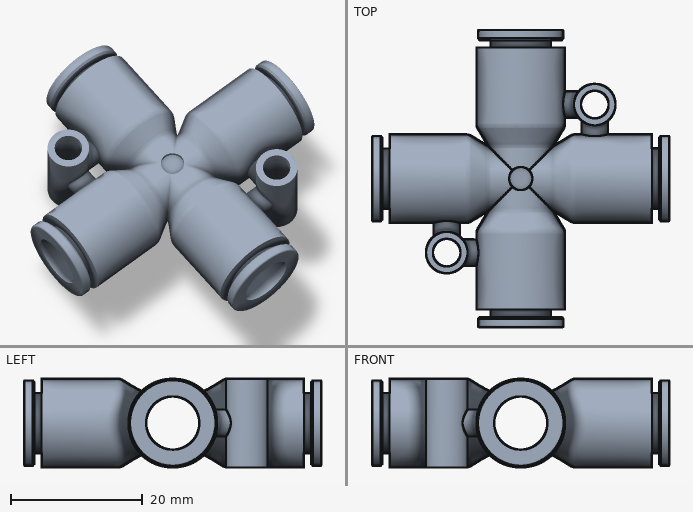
import cadquery as cq
import math

span = 45.2
half_span = span / 2
body_radius = 13.5 / 2
bore_radius = 4.02

hub_radius = 4.93
cone_angle = 31.0
shoulder_start = 7.95
shoulder_blend = 1.45
hub_blend = 1.1
body_end = 19.95

collar_neck_radius = 4.6
flange_radius = 6.5
flange_thickness = 1.6
flange_round = 0.25
flange_bevel = 0.3

tube_offset = 11.25
tube_radius = 3.15
tube_hole_radius = 2.1
web_radius = 2.05

recess_radius = 1.75
recess_floor = 4.4


def make_arm():
    """One arm along +X: hub cylinder, blended cone, body, collar neck and flange."""
    cone_length = (body_radius - hub_radius) / math.tan(math.radians(cone_angle))
    cone_start = shoulder_start - cone_length
    body = (
        cq.Workplane("XY")
        .polyline([
            (0, 0),
            (0, hub_radius),
            (cone_start, hub_radius),
            (shoulder_start, body_radius),
            (body_end, body_radius),
            (body_end, 0),
        ])
        .close()
        .revolve(360, (0, 0, 0), (1, 0, 0))
    )
    edge_margin = 0.05
    for position, blend in ((cone_start, hub_blend), (shoulder_start, shoulder_blend)):
        near_circle = cq.selectors.BoxSelector(
            (position - edge_margin, -span, -span),
            (position + edge_margin, span, span),
        )
        body = body.edges("%CIRCLE").edges(near_circle).fillet(blend)

    neck = (
        cq.Workplane("YZ", origin=(body_end, 0, 0))
        .circle(collar_neck_radius)
        .extrude(half_span - body_end)
    )
    flange = (
        cq.Workplane("YZ", origin=(half_span - flange_thickness, 0, 0))
        .circle(flange_radius)
        .extrude(flange_thickness)
        .edges(">X")
        .fillet(flange_round)
        .edges("<X")
        .chamfer(flange_bevel)
    )
    return body.union(neck).union(flange)


def make_bores():
    """Two through bores crossing at the centre."""
    bore_x = cq.Workplane("YZ").circle(bore_radius).extrude(half_span, both=True)
    bore_y = cq.Workplane("XZ").circle(bore_radius).extrude(half_span, both=True)
    return bore_x.union(bore_y)


def make_mount():
    """Vertical tube in the +X +Y corner with a round web to each neighbouring arm."""
    web_x = (
        cq.Workplane("YZ", origin=(0, tube_offset, 0))
        .circle(web_radius)
        .extrude(tube_offset)
    )
    web_y = (
        cq.Workplane("XZ", origin=(tube_offset, 0, 0))
        .circle(web_radius)
        .extrude(-tube_offset)
    )
    tube = (
        cq.Workplane("XY")
        .center(tube_offset, tube_offset)
        .circle(tube_radius)
        .extrude(body_radius, both=True)
    )
    hole = (
        cq.Workplane("XY")
        .center(tube_offset, tube_offset)
        .circle(tube_hole_radius)
        .extrude(body_radius, both=True)
    )
    return tube.union(web_x).union(web_y).cut(hole)


def turn(shape, angle):
    """Rotate a shape about the vertical axis."""
    return shape.rotate((0, 0, 0), (0, 0, 1), angle)


arm = make_arm()
mount = make_mount()
recess = (
    cq.Workplane("XY", origin=(0, 0, recess_floor))
    .circle(recess_radius)
    .extrude(hub_radius)
)

result = arm
for arm_angle in (90, 180, 270):
    result = result.union(turn(arm, arm_angle))
for mount_angle in (0, 180):
    result = result.union(turn(mount, mount_angle))
result = result.cut(make_bores()).cut(recess)